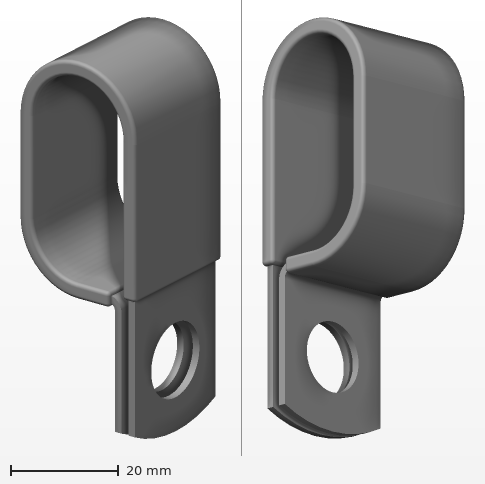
import cadquery as cq
import math

loop_width = 26.9
cushion_depth = 26.95
cushion_thickness = 3.1
edge_radius = 0.75
total_height = 75.3
loop_bottom = 27.8
right_wall_end = 30.2
floor_end = 7.3

strap_depth = 25.15
strap_thickness = 1.5
left_tab_outer_x = 9.6
bend_outer_radius = 3.0
tip_rise = 2.9
left_hole_diameter = 13.55
right_hole_diameter = 15.0
hole_height = 14.3

outer_radius = loop_width / 2
inner_radius = outer_radius - cushion_thickness
upper_center_z = total_height - outer_radius
lower_center_z = loop_bottom + outer_radius
bend_inner_radius = bend_outer_radius - strap_thickness
strap_overlap = 2.25
diagonal = math.sqrt(0.5)


def extrude_centered(outline, depth):
    """Extrude an XZ outline equally to both sides of Y = 0."""
    return outline.close().extrude(depth / 2, both=True)


def make_cushion():
    floor_top = loop_bottom + cushion_thickness
    outline = (
        cq.Workplane("XZ")
        .moveTo(outer_radius, right_wall_end)
        .lineTo(outer_radius, upper_center_z)
        .threePointArc((0, total_height), (-outer_radius, upper_center_z))
        .lineTo(-outer_radius, lower_center_z)
        .threePointArc(
            (-outer_radius * diagonal, lower_center_z - outer_radius * diagonal),
            (0, loop_bottom),
        )
        .lineTo(floor_end, loop_bottom)
        .lineTo(floor_end, floor_top)
        .lineTo(0, floor_top)
        .threePointArc(
            (-inner_radius * diagonal, lower_center_z - inner_radius * diagonal),
            (-inner_radius, lower_center_z),
        )
        .lineTo(-inner_radius, upper_center_z)
        .threePointArc((0, upper_center_z + inner_radius), (inner_radius, upper_center_z))
        .lineTo(inner_radius, right_wall_end)
    )
    cushion = extrude_centered(outline, cushion_depth)

    wall_center = (outer_radius - cushion_thickness / 2, 0, right_wall_end)
    floor_center = (floor_end, 0, loop_bottom + cushion_thickness / 2)
    rims = cushion.faces("<Y or >Y").edges()
    for end_center in (wall_center, floor_center):
        end_face = cushion.faces(cq.selectors.NearestToPointSelector(end_center))
        rims = rims.add(end_face.edges("|Y"))
    return rims.fillet(edge_radius)


def make_right_tab():
    center_x = outer_radius - cushion_thickness / 2
    height = right_wall_end + strap_overlap
    return cq.Workplane("XY").box(
        strap_thickness, strap_depth, height, centered=(True, True, False)
    ).translate((center_x, 0, 0))


def make_left_tab():
    """Tab that runs out of the cushion floor and bends downward."""
    inner_x = left_tab_outer_x - strap_thickness
    bend_x = left_tab_outer_x - bend_outer_radius
    top_z = loop_bottom + (cushion_thickness + strap_thickness) / 2
    bend_z = top_z - bend_outer_radius
    start_x = bend_x - strap_overlap
    outer_step = bend_outer_radius * diagonal
    inner_step = bend_inner_radius * diagonal
    outline = (
        cq.Workplane("XZ")
        .moveTo(start_x, top_z)
        .lineTo(bend_x, top_z)
        .threePointArc((bend_x + outer_step, bend_z + outer_step), (left_tab_outer_x, bend_z))
        .lineTo(left_tab_outer_x, 0)
        .lineTo(inner_x, 0)
        .lineTo(inner_x, bend_z)
        .threePointArc((bend_x + inner_step, bend_z + inner_step), (bend_x, bend_z + bend_inner_radius))
        .lineTo(start_x, bend_z + bend_inner_radius)
    )
    return extrude_centered(outline, strap_depth)


def make_tab_profile(hole_diameter):
    """Block along X with the face shape of the tabs: arched tip and bolt hole."""
    block = (
        cq.Workplane("YZ")
        .moveTo(-strap_depth / 2, total_height)
        .lineTo(-strap_depth / 2, tip_rise)
        .threePointArc((0, 0), (strap_depth / 2, tip_rise))
        .lineTo(strap_depth / 2, total_height)
        .close()
        .extrude(loop_width)
    )
    hole = cq.Workplane("YZ").center(0, hole_height).circle(hole_diameter / 2).extrude(loop_width)
    return block.cut(hole)


left_tab = make_left_tab().intersect(make_tab_profile(left_hole_diameter))
right_tab = make_right_tab().intersect(make_tab_profile(right_hole_diameter))
result = make_cushion().union(left_tab).union(right_tab)